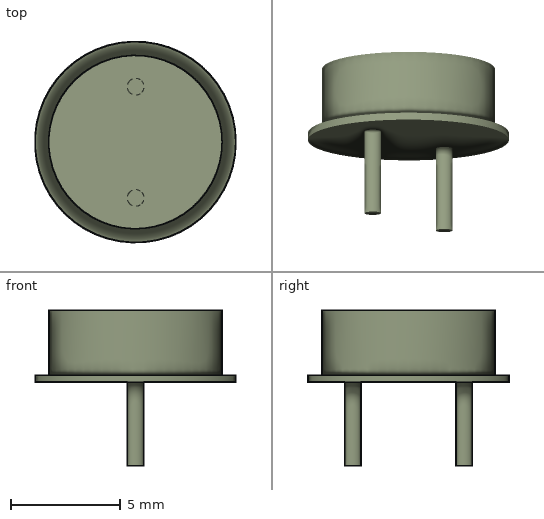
import cadquery as cq

flange_diameter = 9.19
flange_thickness = 0.32

can_diameter = 7.92
can_height = 2.97

pin_diameter = 0.76
pin_length = 3.82
pin_spacing = 5.08


def make_disc(diameter, height, bottom_z):
    """Solid upright cylinder centred on the Z axis."""
    return cq.Workplane("XY").workplane(offset=bottom_z).circle(diameter / 2).extrude(height)


def make_flange():
    return make_disc(flange_diameter, flange_thickness, 0)


def make_can():
    return make_disc(can_diameter, can_height, flange_thickness)


def make_pin(y):
    """Lead whose top end meets the underside of the flange."""
    return make_disc(pin_diameter, pin_length, -pin_length).translate((0, y, 0))


flange = make_flange()
can = make_can()
pins = [make_pin(side * pin_spacing / 2) for side in (-1, 1)]

result = cq.Compound.makeCompound([flange.val(), can.val(), *[pin.val() for pin in pins]])